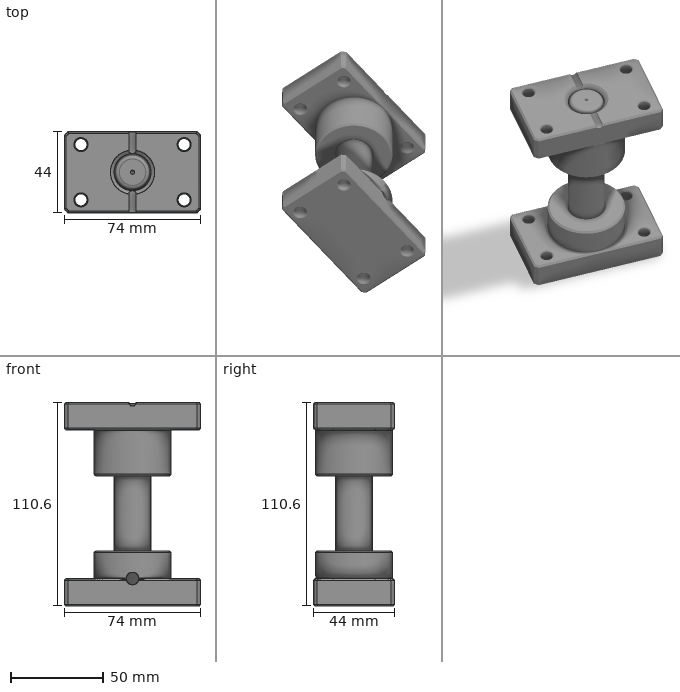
import cadquery as cq
import math

plate_length = 74.0
plate_width = 44.0
plate_height = 15.0
corner_chamfer = 2.0
edge_chamfer = 1.0

screw_hole_diameter = 6.6
screw_hole_chamfer = 0.5
screw_spacing_x = 56.0
screw_spacing_y = 30.0

boss_radius = 21.0
boss_chamfer = 1.0
holder_boss_height = 15.0
guide_boss_height = 25.0

pillar_radius = 10.0
pillar_length = 110.0
pillar_top_rounding = 2.1
pillar_taper_length = 4.5
pillar_taper_angle = 15.0
centre_mark_radius = 1.1
centre_mark_angle = 60.0

overall_height = 110.64
bore_mouth_chamfer = 0.8
guide_mouth_chamfer = 2.0
oil_groove_radius = 2.0
guide_neck_height = 0.4
guide_neck_depth = 0.2

relief_width = 1.5
relief_depth = 0.5
relief_undercut = 0.1
relief_lip_height = 0.2
locking_hole_radius = 3.4


def flange(boss_height):
    """Plate on Z = 0 with a round boss on top, a bore for the pillar and four screw holes."""
    plate = (
        cq.Workplane("XY")
        .box(plate_length, plate_width, plate_height, centered=(True, True, False))
        .edges("|Z")
        .chamfer(corner_chamfer)
        .faces("<Z or >Z")
        .chamfer(edge_chamfer)
    )
    boss = (
        cq.Workplane("XY")
        .circle(boss_radius)
        .extrude(plate_height + boss_height)
        .faces(">Z")
        .chamfer(boss_chamfer)
    )
    return plate.cut(screw_holes()).union(boss).cut(pillar_bore(plate_height + boss_height))


def screw_holes():
    """Four through holes, chamfered at both plate faces."""
    radius = screw_hole_diameter / 2
    mouth_radius = radius + screw_hole_chamfer
    hole = (
        cq.Workplane("XZ")
        .polyline([
            (0, 0),
            (mouth_radius, 0),
            (radius, screw_hole_chamfer),
            (radius, plate_height - screw_hole_chamfer),
            (mouth_radius, plate_height),
            (0, plate_height),
        ])
        .close()
        .revolve(360, (0, 0, 0), (0, 1, 0))
    )
    positions = cq.Workplane("XY").rect(screw_spacing_x, screw_spacing_y, forConstruction=True)
    return positions.vertices().eachpoint(hole.val(), combine="a")


def pillar_bore(height):
    """Bore through a flange, with a small chamfer where it leaves the boss."""
    bore = cq.Workplane("XY").circle(pillar_radius).extrude(height)
    return bore.union(bore_mouth(height, bore_mouth_chamfer))


def bore_mouth(face_z, chamfer):
    """Conical mouth that widens up to the face at face_z."""
    return cq.Workplane(
        cq.Solid.makeCone(
            pillar_radius,
            pillar_radius + chamfer,
            chamfer,
            pnt=cq.Vector(0, 0, face_z - chamfer),
        )
    )


def holder_flange():
    """Lower flange: rounded relief groove around the boss and a radial locking hole on the -Y side."""
    groove_outer_radius = boss_radius + relief_width
    relief = (
        cq.Workplane("XZ")
        .moveTo(boss_radius, plate_height + relief_lip_height)
        .threePointArc(
            (boss_radius - relief_undercut, plate_height - relief_depth / 2),
            (boss_radius + relief_depth, plate_height - relief_depth),
        )
        .lineTo(groove_outer_radius, plate_height)
        .lineTo(groove_outer_radius, plate_height + relief_lip_height)
        .close()
        .revolve(360, (0, 0, 0), (0, 1, 0))
    )
    locking_hole = (
        cq.Workplane("XZ")
        .center(0, plate_height)
        .circle(locking_hole_radius)
        .extrude(plate_width / 2)
    )
    return flange(holder_boss_height).cut(relief).cut(locking_hole)


def guide_flange():
    """Upper flange: boss pointing down and necked at its root, oil groove on top."""
    neck = (
        cq.Workplane("XY", origin=(0, 0, plate_height))
        .circle(boss_radius)
        .circle(boss_radius - guide_neck_depth)
        .extrude(guide_neck_height)
    )
    body = flange(guide_boss_height).cut(neck).rotate((0, 0, 0), (1, 0, 0), 180)
    body = body.translate((0, 0, overall_height))
    oil_groove = (
        cq.Workplane("XZ", origin=(0, plate_width / 2, 0))
        .center(0, overall_height)
        .circle(oil_groove_radius)
        .extrude(plate_width)
    )
    return body.cut(bore_mouth(overall_height, guide_mouth_chamfer)).cut(oil_groove)


def guide_pillar():
    """Round pillar with a tapered tip, a rounded top edge and a conical centre mark."""
    tip_radius = pillar_radius - pillar_taper_length * math.tan(math.radians(pillar_taper_angle))
    body = (
        cq.Workplane("XZ")
        .polyline([
            (0, 0),
            (pillar_radius, 0),
            (pillar_radius, pillar_length - pillar_taper_length),
            (tip_radius, pillar_length),
            (0, pillar_length),
        ])
        .close()
        .revolve(360, (0, 0, 0), (0, 1, 0))
        .faces(">Z")
        .edges()
        .fillet(pillar_top_rounding)
    )
    centre_mark_depth = centre_mark_radius / math.tan(math.radians(centre_mark_angle / 2))
    centre_mark = cq.Solid.makeCone(
        0,
        centre_mark_radius,
        centre_mark_depth,
        pnt=cq.Vector(0, 0, pillar_length - centre_mark_depth),
    )
    return body.cut(cq.Workplane(centre_mark))


holder = holder_flange()
guide = guide_flange()
pillar = guide_pillar()

result = cq.Compound.makeCompound([holder.val(), guide.val(), pillar.val()])